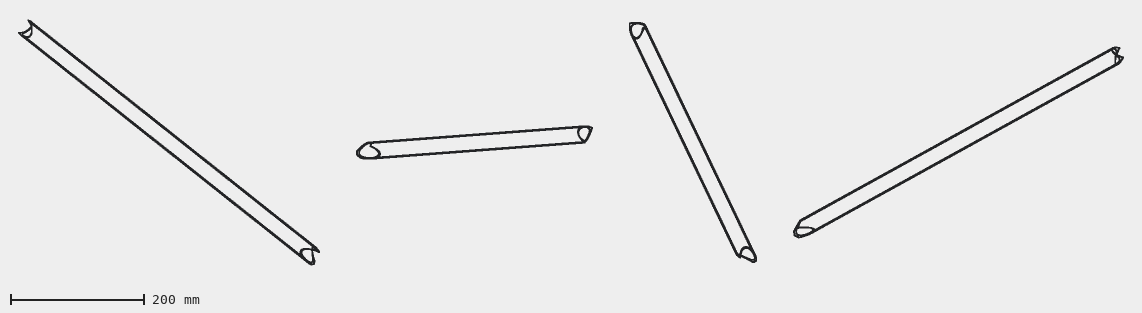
import cadquery as cq
import math

OUTER_RADIUS = 12.5
WALL = 1.5
START_JOINT = cq.Vector(-230.2, -84.2, 136.5)
END_JOINT = cq.Vector(231.1, 86.5, -140.4)

CROSSING_RADIUS = OUTER_RADIUS
CROSSING_HALF_LENGTH = 60.0

START_CROSSINGS = [cq.Vector(-0.335, 0.327, -0.884)]
END_CROSSINGS = [cq.Vector(0.979, 0.038, 0.200), cq.Vector(0.020, 0.180, 0.984)]


def hollow_tube(start, end):
    """Straight tube whose axis runs from start to end."""
    span = end - start
    plane = cq.Plane(origin=start, normal=span.normalized())
    profile = cq.Workplane(plane).circle(OUTER_RADIUS).circle(OUTER_RADIUS - WALL)
    return profile.extrude(span.Length)


def crossing_tube(joint, direction):
    """Solid envelope of a tube crossing at a joint, centred on the joint."""
    axis = direction.normalized()
    plane = cq.Plane(origin=joint - axis * CROSSING_HALF_LENGTH, normal=axis)
    return cq.Workplane(plane).circle(CROSSING_RADIUS).extrude(2 * CROSSING_HALF_LENGTH)


def notch(tube, joint, crossings):
    """Cut a tube end to fit against every tube crossing at its joint."""
    for direction in crossings:
        tube = tube.cut(crossing_tube(joint, direction))
    return tube


tube = hollow_tube(START_JOINT, END_JOINT)
tube = notch(tube, START_JOINT, START_CROSSINGS)
tube = notch(tube, END_JOINT, END_CROSSINGS)

body = max(tube.solids().vals(), key=lambda solid: solid.Volume())
result = cq.Workplane(body)